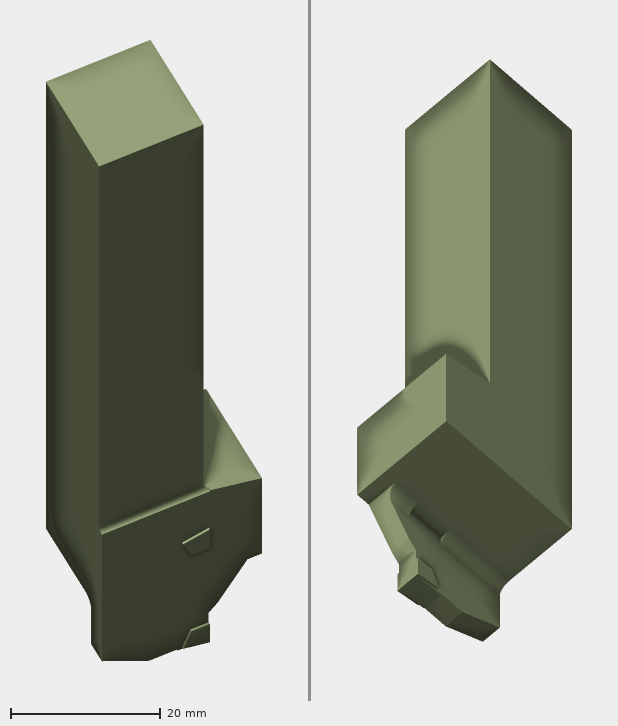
import cadquery as cq

total_height = 114.3
shank_width = 15.9
shank_depth = 15.7

head_width = 16.7
head_depth = 24.0
head_bottom = 14.6
head_shoulder_top = 33.5
head_shoulder_drop = 2.1
shoulder_radius = 0.6
side_step = head_width - shank_width
side_step_bottom = 33.1

blade_thickness = 3.2
blade_left = head_width - blade_thickness
blade_bottom = 0.8
blade_front_at_head = 21.8
blade_chamfer_length = 7.1
blade_chamfer_top = 4.9
root_radius = 1.8

insert_back = 11.3
insert_front = 17.4
insert_length = 25.1
insert_middle = insert_length / 2
tip_front = 16.0
tip_overhang = 0.3
tip_height = 4.1
tip_back_top = 13.3
tip_back_bottom = 12.0
tip_relief_start = 0.9
edge_relief = 0.6
front_slope_bottom = 6.2
front_slope_top = 7.7


def side_plate(outline, left, thickness):
    """Extrude a closed (Y, Z) outline along +X, starting at X = left."""
    return cq.Workplane("YZ", origin=(left, 0, 0)).polyline(outline).close().extrude(thickness)


def make_shank_and_head():
    side_outline = [
        (0, head_bottom),
        (head_depth, head_bottom),
        (head_depth, head_shoulder_top - head_shoulder_drop),
        (shank_depth, head_shoulder_top),
        (shank_depth, total_height),
        (0, total_height),
    ]
    body = side_plate(side_outline, 0, head_width)
    shoulder_corner = cq.selectors.BoxSelector(
        (-head_width, shank_depth - shoulder_radius, head_shoulder_top - shoulder_radius),
        (2 * head_width, shank_depth + shoulder_radius, head_shoulder_top + shoulder_radius),
    )
    body = body.edges(shoulder_corner).edges("|X").fillet(shoulder_radius)
    return body.cut(make_shank_side_step())


def make_shank_side_step():
    """Material taken off the +X side of the shank, with a concave runout at the head."""
    depth = shank_depth + shoulder_radius
    return (
        cq.Workplane("XZ")
        .moveTo(head_width, side_step_bottom)
        .radiusArc((shank_width, side_step_bottom + side_step), side_step)
        .lineTo(shank_width, total_height)
        .lineTo(head_width, total_height)
        .close()
        .extrude(-depth)
    )


def make_blade():
    """Blade with a concave fillet where it meets the underside of the head."""
    side_outline = [
        (0, head_bottom),
        (blade_front_at_head, head_bottom),
        (insert_front, front_slope_top),
        (tip_front, front_slope_bottom),
        (tip_front, blade_bottom),
        (blade_chamfer_length, blade_bottom),
        (0, blade_chamfer_top),
    ]
    fillet_left = blade_left - root_radius
    section = (
        cq.Workplane("XZ")
        .moveTo(fillet_left, head_bottom)
        .radiusArc((blade_left, head_bottom - root_radius), root_radius)
        .lineTo(blade_left, 0)
        .lineTo(head_width, 0)
        .lineTo(head_width, head_bottom)
        .close()
        .extrude(-head_depth)
    )
    return side_plate(side_outline, fillet_left, head_width - fillet_left).intersect(section)


def make_insert():
    body_outline = [
        (insert_back, edge_relief),
        (tip_front, 0),
        (tip_front, front_slope_bottom),
        (insert_front, front_slope_top),
        (insert_front, insert_middle),
        (insert_back, insert_middle),
    ]
    tip_outline = [
        (tip_front, 0),
        (tip_front, tip_height),
        (tip_back_top, tip_height),
        (tip_back_bottom, tip_relief_start),
    ]
    body = side_plate(body_outline, blade_left, blade_thickness)
    tip = side_plate(tip_outline, blade_left - tip_overhang, blade_thickness + 2 * tip_overhang)
    lower_half = body.union(tip)
    upper_half = lower_half.mirror("XY", (0, 0, insert_middle))
    return lower_half.union(upper_half)


def make_insert_clearance():
    """Space beside the insert below the head, interrupting the root fillet."""
    return cq.Workplane("XY").box(
        root_radius, insert_front - insert_back, head_bottom, centered=False
    ).translate((blade_left - root_radius, insert_back, 0))


def make_blade_seat():
    """Opening through the blade for the exposed lower part of the insert."""
    return cq.Workplane("XY").box(
        blade_thickness, insert_front - insert_back, head_bottom, centered=False
    ).translate((blade_left, insert_back, 0))


insert = make_insert()
holder = (
    make_shank_and_head()
    .union(make_blade())
    .cut(make_insert_clearance())
    .cut(make_blade_seat())
    .cut(insert)
)

result = cq.Compound.makeCompound([*holder.vals(), insert.val()])